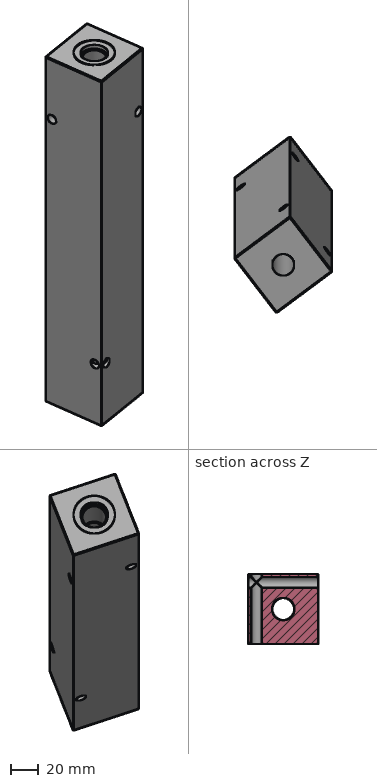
import cadquery as cq

length = 311.0
side = 50.7
edge_chamfer = 0.5

spot_face_diameter = 30.0
spot_face_depth = 0.5
mouth_diameter = 20.0
mouth_depth = 3.0
seat_diameter = 19.0
socket_diameter = 17.0
socket_depth = 31.0
bore_diameter = 16.0
seat_chamfer = (seat_diameter - socket_diameter) / 2
socket_floor_chamfer = (socket_diameter - bore_diameter) / 2

cross_hole_diameter = 7.5
cross_hole_offset = 19.3
cross_hole_height = 101.7


def square_bar():
    return cq.Workplane("XY").box(side, side, length).edges().chamfer(edge_chamfer)


def stepped_bore():
    """Revolved cutter for the whole central bore, from the bottom face up."""
    top = length / 2
    spot_face = top - spot_face_depth
    seat = spot_face - mouth_depth
    socket_floor = spot_face - socket_depth
    profile = [
        (0, -top),
        (bore_diameter / 2, -top),
        (bore_diameter / 2, socket_floor - socket_floor_chamfer),
        (socket_diameter / 2, socket_floor),
        (socket_diameter / 2, seat - seat_chamfer),
        (seat_diameter / 2, seat),
        (mouth_diameter / 2, spot_face),
        (spot_face_diameter / 2, spot_face),
        (spot_face_diameter / 2, top),
        (0, top),
    ]
    return cq.Workplane("XZ").polyline(profile).close().revolve(360, (0, 0, 0), (0, 1, 0))


def cross_holes(plane, upper_offset):
    """Two through holes, placed diagonally opposite each other on the side face."""
    centres = [(upper_offset, cross_hole_height), (-upper_offset, -cross_hole_height)]
    return (
        cq.Workplane(plane)
        .pushPoints(centres)
        .circle(cross_hole_diameter / 2)
        .extrude(side, both=True)
    )


result = (
    square_bar()
    .cut(stepped_bore())
    .cut(cross_holes("XZ", -cross_hole_offset))
    .cut(cross_holes("YZ", cross_hole_offset))
)